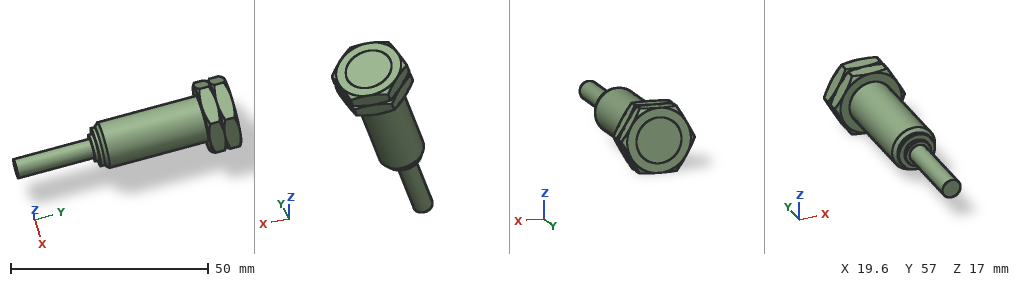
import cadquery as cq
import math

total_length = 57.0

barrel_diameter = 11.95
barrel_chamfer = 1.0
step_length = 1.0
flange_diameter = 10.0
collar_diameter = 7.0
cable_diameter = 5.0
cable_length = 20.0
barrel_length = total_length - cable_length - 2 * step_length

nut_count = 2
nut_across_flats = 17.0
nut_thickness = 4.0
nut_chamfer_angle = 30.0
nut_across_corners = nut_across_flats / math.cos(math.radians(30))


def cylinder(diameter, length, start):
    """Cylinder on the Y axis that runs from Y = -start toward -Y."""
    return cq.Workplane("XZ", origin=(0, -start, 0)).circle(diameter / 2).extrude(length)


def make_sensor():
    """Chamfered barrel with its flange, collar and cable, as one solid."""
    barrel = cylinder(barrel_diameter, barrel_length, 0).faces("<Y").chamfer(barrel_chamfer)
    flange = cylinder(flange_diameter, step_length, barrel_length)
    collar = cylinder(collar_diameter, step_length, barrel_length + step_length)
    cable = cylinder(cable_diameter, cable_length, total_length - cable_length)
    return barrel.union(flange).union(collar).union(cable)


def make_chamfer_envelope():
    """Turned shape whose cones meet the nut faces at the across-flats circle."""
    face_radius = nut_across_flats / 2
    corner_radius = nut_across_corners / 2
    corner_drop = (corner_radius - face_radius) * math.tan(math.radians(nut_chamfer_angle))
    return (
        cq.Workplane("XY")
        .moveTo(0, 0)
        .lineTo(face_radius, 0)
        .lineTo(corner_radius, -corner_drop)
        .lineTo(corner_radius, corner_drop - nut_thickness)
        .lineTo(face_radius, -nut_thickness)
        .lineTo(0, -nut_thickness)
        .close()
        .revolve(360, (0, 0, 0), (0, 1, 0))
    )


def make_nut(start):
    """Hex nut with corners on +X and -X, bored to fit the barrel."""
    hexagon = cq.Workplane("XZ").polygon(6, nut_across_corners).extrude(nut_thickness)
    bore = cylinder(barrel_diameter, nut_thickness, 0)
    return hexagon.intersect(make_chamfer_envelope()).cut(bore).translate((0, -start, 0))


sensor = make_sensor()
nuts = [make_nut(index * nut_thickness) for index in range(nut_count)]

result = cq.Compound.makeCompound([sensor.solids().val(), *[nut.solids().val() for nut in nuts]])